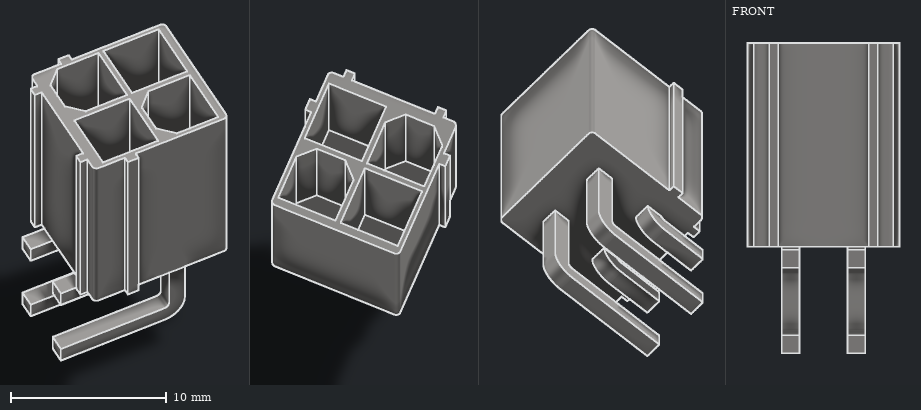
import cadquery as cq

body_width = 8.95
body_depth = 9.7
body_height = 13.15
corner_radius = 0.3

cavity_size = 4.0
cavity_pitch = 4.35
cavity_depth = 10.0
cavity_front_wall = 0.78
key_chamfer = 1.0

overall_width = 9.8
side_rail_width = 0.78
side_rail_setback = 2.22
front_rail_width = 0.6
front_rail_height = 0.5
front_rail_offset = 3.2

pin_size = 1.15
pin_pitch = 4.22
pin_reach = 1.5
pin_embed = 0.8
bend_inner_radius = 0.35
bend_outer_radius = bend_inner_radius + pin_size
long_pin_drop = 6.85
short_pin_drop = 1.35
short_pin_back = 3.28
long_pin_back = short_pin_back + pin_pitch


def block(x_min, x_max, y_min, y_max):
    """Full-height rectangular block given by its X and Y limits."""
    size = (x_max - x_min, y_max - y_min, body_height)
    return cq.Workplane("XY").box(*size, centered=False).translate((x_min, y_min, 0))


def make_housing():
    housing = block(-body_width / 2, body_width / 2, 0, body_depth)
    housing = housing.edges("|Z").fillet(corner_radius)

    side_rails = block(
        -overall_width / 2, overall_width / 2,
        side_rail_setback, side_rail_setback + side_rail_width,
    )
    housing = housing.union(side_rails)

    for side in (-1, 1):
        rail_x = side * front_rail_offset
        rail = block(
            rail_x - front_rail_width / 2, rail_x + front_rail_width / 2,
            -front_rail_height, cavity_front_wall / 2,
        )
        housing = housing.union(rail)
    return housing


def make_cavity(column, row):
    """Square pocket; those on one diagonal have keyed front corners."""
    cavity = cq.Workplane("XY").box(
        cavity_size, cavity_size, cavity_depth, centered=(True, False, False)
    )
    if column == row:
        cavity = cavity.edges("|Z and <Y").chamfer(key_chamfer)
    return cavity.translate((
        (column - 0.5) * cavity_pitch,
        cavity_front_wall + row * cavity_pitch,
        body_height - cavity_depth,
    ))


def make_pin(x_center, back, drop):
    """Pin whose upright has its back face at Y = back and lowest face at Z = -drop."""
    upright_front = back - pin_size
    foot_top = pin_size - drop
    profile = (
        cq.Workplane("YZ", origin=(x_center, 0, 0))
        .moveTo(back, pin_embed)
        .lineTo(back, bend_outer_radius - drop)
        .radiusArc((back - bend_outer_radius, -drop), bend_outer_radius)
        .lineTo(-pin_reach, -drop)
        .lineTo(-pin_reach, foot_top)
        .lineTo(upright_front - bend_inner_radius, foot_top)
        .radiusArc((upright_front, foot_top + bend_inner_radius), -bend_inner_radius)
        .lineTo(upright_front, pin_embed)
        .close()
    )
    return profile.extrude(pin_size / 2, both=True)


result = make_housing()
for column in (0, 1):
    for row in (0, 1):
        result = result.cut(make_cavity(column, row))
    pin_x = (column - 0.5) * pin_pitch
    result = result.union(make_pin(pin_x, long_pin_back, long_pin_drop))
    result = result.union(make_pin(pin_x, short_pin_back, short_pin_drop))